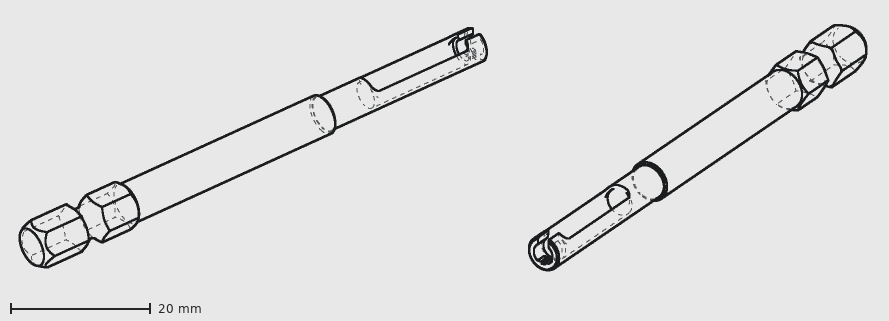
import cadquery as cq
import math

total_length = 80.0
hex_length = 17.0
body_end = 52.5
groove_center = 9.4
groove_shoulder = 7.6

shank_end_radius = 2.9
end_cone_length = 1.4
end_cone_angle = 30.0
corner_radius = shank_end_radius + end_cone_length * math.tan(math.radians(end_cone_angle))

groove_neck_radius = 2.4
groove_arc_radius = 2.0

body_radius = 3.0
tube_radius = 2.6
edge_chamfer = 0.2

window_length = 17.3
tip_lip_length = 2.7
window_start = total_length - tip_lip_length - window_length
window_end = total_length - tip_lip_length
window_corner_radius = 1.0

bore_radius = 2.1
mouth_radius = 1.6
mouth_length = 2.5
bore_cone_length = 0.2

lip_slot_width = 1.8
key_length = 1.8
key_top = -1.3
key_gap = 0.6


def cylinder(radius, start, end):
    """Cylinder around the Y axis between two lengthwise stations."""
    return cq.Workplane("XZ", origin=(0, start, 0)).circle(radius).extrude(start - end)


def box(width, start, end, bottom, top):
    """Box centred on X, between two Y stations and two heights."""
    block = cq.Workplane("XY").box(width, end - start, top - bottom, centered=(True, False, False))
    return block.translate((0, start, bottom))


def spin(outline):
    """Full revolution of a closed XY outline around the Y axis."""
    return outline.close().revolve(360, (0, 0), (0, 1))


def make_shank():
    """Hexagon bar trimmed by a cone at each end."""
    bar = cq.Workplane("XZ").polygon(6, 2 * corner_radius).extrude(-hex_length)
    shoulder_cone_length = corner_radius - body_radius
    outline = (
        cq.Workplane("XY")
        .lineTo(shank_end_radius, 0)
        .lineTo(corner_radius, end_cone_length)
        .lineTo(corner_radius, hex_length - shoulder_cone_length)
        .lineTo(body_radius, hex_length)
        .lineTo(0, hex_length)
    )
    return bar.intersect(spin(outline))


def make_groove():
    """Ring cutter: round toward the body, with a square shoulder toward the shank end."""
    arc_center_radius = groove_neck_radius + groove_arc_radius

    def arc_point(angle):
        return (
            arc_center_radius - groove_arc_radius * math.cos(angle),
            groove_center + groove_arc_radius * math.sin(angle),
        )

    square_angle = math.asin((groove_shoulder - groove_center) / groove_arc_radius)
    round_angle = math.pi / 2
    square_start = arc_point(square_angle)
    round_end = arc_point(round_angle)
    outline = (
        cq.Workplane("XY")
        .moveTo(*square_start)
        .threePointArc(arc_point((square_angle + round_angle) / 2), round_end)
        .lineTo(round_end[0], square_start[1])
    )
    return spin(outline)


def make_bore():
    """Narrow mouth, short cone, then the wider bore that ends with the window."""
    cone_start = total_length - mouth_length
    outline = (
        cq.Workplane("XY")
        .moveTo(0, window_start)
        .lineTo(bore_radius, window_start)
        .lineTo(bore_radius, cone_start - bore_cone_length)
        .lineTo(mouth_radius, cone_start)
        .lineTo(mouth_radius, total_length)
        .lineTo(0, total_length)
    )
    return spin(outline)


def make_keys():
    """Two flat-topped ribs on the bottom of the mouth, with a gap between them."""
    key_start = total_length - key_length
    floor = cylinder(mouth_radius, key_start, total_length)
    ribs = floor.intersect(box(2 * mouth_radius, key_start, total_length, -mouth_radius, key_top))
    return ribs.cut(box(key_gap, key_start, total_length, -mouth_radius, key_top))


def make_window():
    """Cutter as wide as the bore, open to the top, with rounded corners."""
    cutter = box(2 * bore_radius, window_start, window_end, 0, tube_radius)
    return cutter.edges("|Z").fillet(window_corner_radius)


body = cylinder(body_radius, hex_length, body_end).faces(">Y").chamfer(edge_chamfer)
tube = cylinder(tube_radius, body_end, total_length).faces(">Y").chamfer(edge_chamfer)
lip_slot = box(lip_slot_width, window_end, total_length, 0, tube_radius)

result = (
    make_shank()
    .cut(make_groove())
    .union(body)
    .union(tube)
    .cut(make_bore().cut(make_keys()))
    .cut(make_window())
    .cut(lip_slot)
)